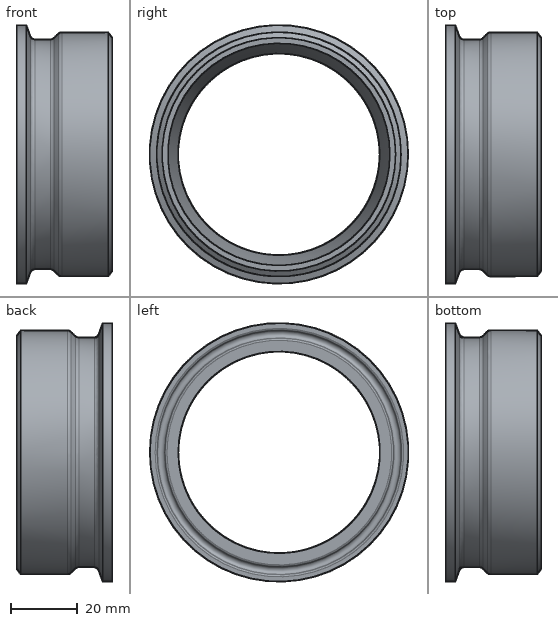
import cadquery as cq
import math

length = 28.55
rim_radius = 38.7
rim_width = 2.9
neck_radius = 68.8 / 2
body_radius = 73.05 / 2
bore_radius = 60.2 / 2

flank_angle = 20.0
neck_fillet = 1.5
shoulder_start = 10.7
end_bevel_width = 1.2
end_bevel_depth = 1.6

flare_start = 14.25
end_bore_radius = 33.2
flare_blend = 4.65

groove_centre_radius = 35.4
groove_floor_fillet = 1.15
groove_lip_fillet = 0.6
groove_wall_angle = 70.0
groove_wall_width = 0.11


def revolve_about_x(profile):
    return profile.close().revolve(360, (0, 0, 0), (1, 0, 0))


def circle_edges(solid, x, radius):
    """Circular edges centred on the X axis at the given position and radius."""
    tolerance = 0.01
    low = (x - tolerance, -radius - tolerance, -radius - tolerance)
    high = (x + tolerance, radius + tolerance, radius + tolerance)
    inner = radius - tolerance
    return solid.edges(cq.selectors.BoxSelector(low, high, boundingbox=True)).filter(
        lambda edge: edge.geomType() == "CIRCLE" and edge.radius() > inner
    )


def make_body():
    flank_width = (rim_radius - neck_radius) * math.tan(math.radians(flank_angle))
    flank_end = rim_width + flank_width
    shoulder_end = shoulder_start + body_radius - neck_radius
    body = revolve_about_x(
        cq.Workplane("XY")
        .moveTo(0, bore_radius)
        .lineTo(0, rim_radius)
        .lineTo(rim_width, rim_radius)
        .lineTo(flank_end, neck_radius)
        .lineTo(shoulder_start, neck_radius)
        .lineTo(shoulder_end, body_radius)
        .lineTo(length - end_bevel_width, body_radius)
        .lineTo(length, body_radius - end_bevel_depth)
        .lineTo(length, end_bore_radius)
        .lineTo(flare_start, bore_radius)
    )
    for x, radius, fillet in (
        (flank_end, neck_radius, neck_fillet),
        (shoulder_start, neck_radius, neck_fillet),
        (shoulder_end, body_radius, neck_fillet),
        (flare_start, bore_radius, flare_blend),
    ):
        body = circle_edges(body, x, radius).fillet(fillet)
    return body


def make_groove():
    wall = math.radians(groove_wall_angle)
    half_wall = wall / 2
    floor_half_width = groove_floor_fillet * math.sin(wall)
    wall_half_width = floor_half_width + groove_wall_width
    half_width = wall_half_width + groove_lip_fillet * math.sin(wall)
    lip_depth = groove_lip_fillet * (1 - math.cos(wall))
    wall_depth = lip_depth + groove_wall_width * math.tan(wall)
    depth = wall_depth + groove_floor_fillet * (1 - math.cos(wall))
    lip_mid_offset = half_width - groove_lip_fillet * math.sin(half_wall)
    lip_mid_depth = groove_lip_fillet * (1 - math.cos(half_wall))
    centre = groove_centre_radius
    return revolve_about_x(
        cq.Workplane("XY")
        .moveTo(0, centre - half_width)
        .threePointArc((lip_mid_depth, centre - lip_mid_offset), (lip_depth, centre - wall_half_width))
        .lineTo(wall_depth, centre - floor_half_width)
        .threePointArc((depth, centre), (wall_depth, centre + floor_half_width))
        .lineTo(lip_depth, centre + wall_half_width)
        .threePointArc((lip_mid_depth, centre + lip_mid_offset), (0, centre + half_width))
    )


result = make_body().cut(make_groove())